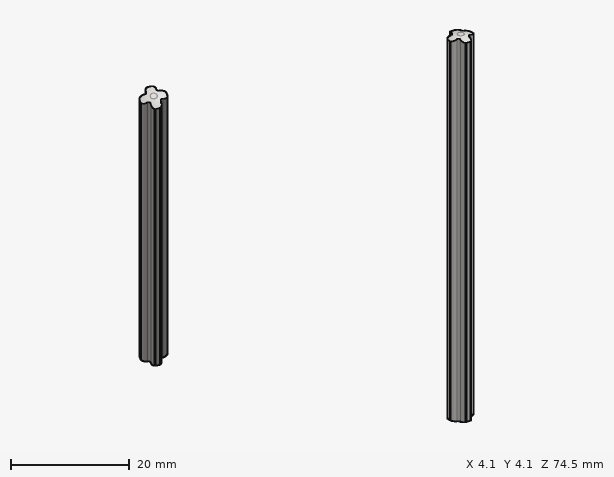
import math
import cadquery as cq

length = 74.5
width = 4.1
groove_half_width = 1.23
groove_depth = 0.63
flank_radius = 1.1
bevel_run = 0.2
bevel_drop = 0.11
end_rise = 0.5
end_bulge = 0.1
end_flat_radius = 0.6

half_width = width / 2
half_length = length / 2
tip_x = groove_half_width + bevel_run
tip_y = half_width - bevel_drop
tip_radius = math.hypot(tip_x, tip_y)

radius_sum = (groove_half_width**2 + groove_depth**2) / (2 * groove_depth)
groove_radius = radius_sum - flank_radius
groove_floor = half_width - groove_depth
flank_angle = math.asin(groove_half_width / radius_sum)
flank_center_y = half_width - flank_radius
tangent_x = groove_radius * math.sin(flank_angle)
tangent_y = groove_floor + groove_radius * (1 - math.cos(flank_angle))
flank_middle_x = groove_half_width - flank_radius * math.sin(flank_angle / 2)
flank_middle_y = flank_center_y + flank_radius * math.cos(flank_angle / 2)


def turned(point, quarter_turns):
    """Turn a point clockwise about the origin in quarter turns."""
    x, y = point
    for _ in range(quarter_turns):
        x, y = y, -x
    return (x, y)


def make_bar():
    """Four-lobed bar with a smooth groove on each side and bevelled flat tips."""
    outline = cq.Workplane("XY").workplane(offset=-half_length).moveTo(-tip_x, tip_y)
    side_arcs = [
        ((-flank_middle_x, flank_middle_y), (-tangent_x, tangent_y)),
        ((0, groove_floor), (tangent_x, tangent_y)),
        ((flank_middle_x, flank_middle_y), (groove_half_width, half_width)),
    ]
    for side in range(4):
        outline = outline.lineTo(*turned((-groove_half_width, half_width), side))
        for middle, end in side_arcs:
            outline = outline.threePointArc(turned(middle, side), turned(end, side))
        outline = outline.lineTo(*turned((tip_x, tip_y), side))
        if side < 3:
            outline = outline.lineTo(*turned((-tip_x, tip_y), side + 1))
    return outline.close().extrude(length)


def make_end_envelope():
    """Round body whose domed ends shape both ends of the bar."""
    shoulder = half_length - end_rise
    dome_middle_radius = (end_flat_radius + tip_radius) / 2
    dome_middle_height = half_length - end_rise / 2 + end_bulge
    return (
        cq.Workplane("XZ")
        .moveTo(0, -half_length)
        .lineTo(end_flat_radius, -half_length)
        .threePointArc((dome_middle_radius, -dome_middle_height), (tip_radius, -shoulder))
        .lineTo(tip_radius, shoulder)
        .threePointArc((dome_middle_radius, dome_middle_height), (end_flat_radius, half_length))
        .lineTo(0, half_length)
        .close()
        .revolve(360, (0, 0, 0), (0, 1, 0))
    )


result = make_bar().intersect(make_end_envelope())